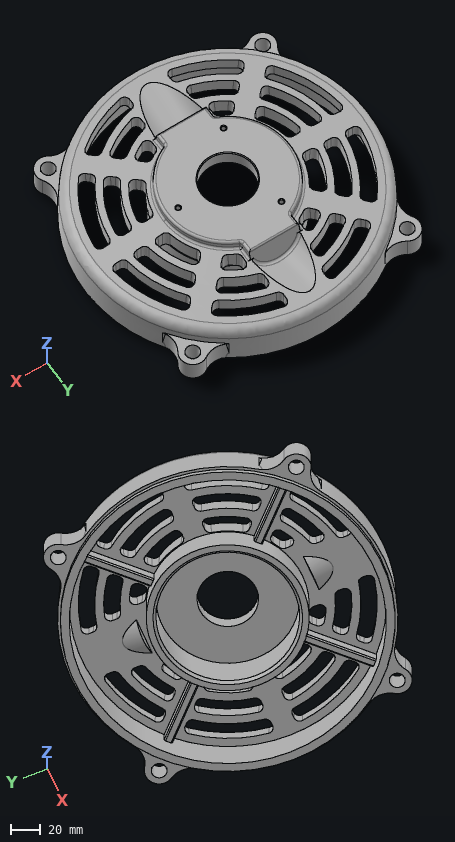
import cadquery as cq
import math

skirt_radius = 114.0
skirt_draft = 2.0
skirt_inner_radius = 106.0
spigot_radius = 112.0
spigot_height = 4.0
cone_apex_height = 44.0
cone_slope = 5.0
shoulder_fillet = 8.0
roof_underside = 25.5

plate_top = 46.5
plate_radius = 50.0
tab_half_width = 20.0
plate_corner_fillet = 2.0
plate_top_fillet = 2.0
plate_foot_fillet = 1.8
tab_edge_fillet = 1.3
tab_blank_reach = 70.0

scoop_tilt = 15.0
tab_top_reach = 55.0
scoop_radius = 21.0
scoop_floor_depth = 21.7
scoop_corner_fillet = 2.0
scoop_wall = 4.0
scoop_length = 70.0

bore_radius = 20.5
bore_chamfer = 0.7
hub_outer_radius = 54.5
hub_inner_radius = 48.0
hub_bottom = 6.0
hub_chamfer = 2.0
hub_ceiling = 34.0

fixing_circle_radius = 40.0
fixing_diameter = 3.3
fixing_depth = 10.0
fixing_chamfer = 0.6
fixing_chamfer_angle = 90.0
fixing_count = 3

ear_circle_radius = 122.3
ear_radius = 10.0
ear_hole_diameter = 10.5
ear_top = 21.5
ear_blend_radius = 16.5
ear_root_radius = 113.8
ear_angles = [45, 135, 225, 315]

slot_inner_radius = 55.5
slot_width = 10.0
slot_pitch = 17.0
slot_taper = 2.0
slot_corner_radius = 4.0
spoke_half_width = 8.2
scoop_spoke_half_widths = [24.2, 19.6, 16.7]
slot_cut_bottom = 15.0
slot_cut_top = 45.0

rib_thickness = 6.0
rib_bottom = 17.0
rib_chamfer = 1.0

selection_margin = 1.0
roof_tolerance = 0.1


def cylinder(radius, bottom, top):
    return cq.Workplane("XY").workplane(offset=bottom).circle(radius).extrude(top - bottom)


def roof_height(radius):
    return cone_apex_height - radius * math.tan(math.radians(cone_slope))


def make_outer_body():
    """Solid skirt, spigot and conical roof with a rounded shoulder."""
    draft = math.tan(math.radians(skirt_draft))
    slope = math.tan(math.radians(cone_slope))
    corner_radius = (skirt_radius - draft * (cone_apex_height - spigot_height)) / (1 - draft * slope)
    profile = (
        cq.Workplane("XZ")
        .polyline([
            (0, 0),
            (spigot_radius, 0),
            (spigot_radius, spigot_height),
            (skirt_radius, spigot_height),
            (corner_radius, roof_height(corner_radius)),
            (0, cone_apex_height),
        ])
        .close()
    )
    body = profile.revolve(360, (0, 0, 0), (0, 1, 0))
    shoulder = cq.selectors.BoxSelector(
        (-skirt_radius, -skirt_radius, spigot_height + selection_margin),
        (skirt_radius, skirt_radius, cone_apex_height - selection_margin),
    )
    return body.edges("%CIRCLE").edges(shoulder).fillet(shoulder_fillet)


def tab_face_plane(side):
    """Plane of the inclined tab face, normal outwards; its local y runs up the face."""
    tilt = math.radians(scoop_tilt)
    return cq.Plane(
        origin=(0, side * tab_top_reach, plate_top),
        xDir=(-side, 0, 0),
        normal=(0, side * math.cos(tilt), math.sin(tilt)),
    )


def make_plate_blank():
    """Upright plate outline with square-ended tabs that run past the tab faces."""
    disc = cylinder(plate_radius, roof_underside, plate_top)
    tab_height = plate_top - roof_underside
    tabs = cq.Workplane("XY").box(2 * tab_half_width, 2 * tab_blank_reach, tab_height)
    tabs = tabs.translate((0, 0, (plate_top + roof_underside) / 2))
    corner_y = math.sqrt(plate_radius**2 - tab_half_width**2)
    corner_zone = cq.selectors.BoxSelector(
        (-tab_half_width - selection_margin, -corner_y - selection_margin, roof_underside),
        (tab_half_width + selection_margin, corner_y + selection_margin, plate_top),
    )
    return disc.union(tabs).edges("|Z").edges(corner_zone).fillet(plate_corner_fillet)


def is_tab_blank_end(point):
    return abs(point.y) > tab_blank_reach - selection_margin


def is_plate_foot(point):
    """True on the line where the sides of the plate meet the roof."""
    radius = math.hypot(point.x, point.y)
    on_roof = abs(point.z - roof_height(radius)) < roof_tolerance
    return on_roof and radius < tab_blank_reach and not is_tab_blank_end(point)


def add_plate(body):
    """Round plate with a tab on each Y side, rounded along its foot and its top edge."""
    raised = body.union(make_plate_blank())
    foot_edges = [edge for edge in raised.edges().vals() if is_plate_foot(edge.positionAt(0.5))]
    raised = raised.newObject(foot_edges).fillet(plate_foot_fillet)
    top_edges = raised.faces(">Z").edges().vals()
    top_side_edges = [edge for edge in top_edges if not is_tab_blank_end(edge.positionAt(0.5))]
    raised = raised.newObject(top_side_edges).fillet(plate_top_fillet)

    for side in (-1, 1):
        beyond = cq.Workplane(tab_face_plane(side)).rect(4 * skirt_radius, 4 * skirt_radius)
        raised = raised.cut(beyond.extrude(2 * skirt_radius).cut(body))
    return raised


def scoop_cylinder(side, radius):
    """Cylinder square to the tab face, sharing the axis of the scoop."""
    axis_drop = scoop_floor_depth - scoop_radius
    plane = cq.Workplane(tab_face_plane(side))
    return plane.center(0, -axis_drop).circle(radius).extrude(scoop_length)


def make_scoop_walls():
    """Material below the scoops, between the hub and the skirt."""
    wall_radius = scoop_radius + scoop_wall
    walls = scoop_cylinder(1, wall_radius).union(scoop_cylinder(-1, wall_radius))
    zone = cylinder(skirt_inner_radius, spigot_height, roof_underside)
    return walls.intersect(zone)


def make_scoop_cut(side):
    cut = scoop_cylinder(side, scoop_radius)
    root = cq.selectors.NearestToPointSelector((0, side * tab_top_reach, plate_top))
    return cut.faces(root).edges().fillet(scoop_corner_fillet)


def make_tab_edge_cut():
    """Bar along the top edge of the +Y tab whose concave side leaves that edge rounded."""
    margin = 1.0
    middle_angle = math.radians((90 + scoop_tilt) / 2)
    setback = tab_edge_fillet * math.tan(math.radians((90 - scoop_tilt) / 2))
    centre_y = tab_top_reach - setback
    centre_z = plate_top - tab_edge_fillet
    middle_y = centre_y + tab_edge_fillet * math.cos(middle_angle)
    middle_z = centre_z + tab_edge_fillet * math.sin(middle_angle)
    face_y = centre_y + tab_edge_fillet * math.cos(math.radians(scoop_tilt))
    face_z = centre_z + tab_edge_fillet * math.sin(math.radians(scoop_tilt))
    return (
        cq.Workplane("YZ")
        .moveTo(centre_y, plate_top)
        .threePointArc((middle_y, middle_z), (face_y, face_z))
        .lineTo(face_y + margin, face_z)
        .lineTo(face_y + margin, plate_top + margin)
        .lineTo(centre_y, plate_top + margin)
        .close()
        .extrude(tab_half_width + margin, both=True)
    )


def make_cavity():
    """Hollow of the cover, with the hub ring and the diagonal ribs left standing."""
    cavity = cylinder(skirt_inner_radius, 0, roof_underside)
    hub = cylinder(hub_outer_radius, hub_bottom, roof_underside)
    hub = hub.cut(cylinder(hub_inner_radius, hub_bottom, roof_underside))
    hub = hub.faces("<Z").edges(cq.selectors.RadiusNthSelector(0)).chamfer(hub_chamfer)
    cavity = cavity.union(cylinder(hub_inner_radius, roof_underside, hub_ceiling)).cut(hub)
    rib_span = skirt_inner_radius - hub_inner_radius
    rib_height = roof_underside - rib_bottom
    rib = cq.Workplane("XY").box(rib_span, rib_thickness, rib_height, centered=(False, True, False))
    rib = rib.faces("<Z").edges("|X").chamfer(rib_chamfer)
    rib = rib.translate((hub_inner_radius, 0, rib_bottom))
    rib = rib.cut(cylinder(hub_inner_radius, 0, roof_underside))
    for angle in ear_angles:
        cavity = cavity.cut(rib.rotate((0, 0, 0), (0, 0, 1), angle))
    return cavity.cut(make_scoop_walls())


def make_ear():
    """Ear with concave blends into the skirt, pointing along +X."""
    to_axis = ear_root_radius + ear_blend_radius
    to_ear = ear_radius + ear_blend_radius
    blend_x = (to_axis**2 - to_ear**2 + ear_circle_radius**2) / (2 * ear_circle_radius)
    blend_y = math.sqrt(to_axis**2 - blend_x**2)
    root_x = blend_x * ear_root_radius / to_axis
    root_y = blend_y * ear_root_radius / to_axis
    tip_x = ear_circle_radius + (blend_x - ear_circle_radius) * ear_radius / to_ear
    tip_y = blend_y * ear_radius / to_ear
    start_angle = math.atan2(root_y - blend_y, root_x - blend_x)
    end_angle = math.atan2(tip_y - blend_y, tip_x - blend_x)
    middle_angle = (start_angle + end_angle) / 2
    middle_x = blend_x + ear_blend_radius * math.cos(middle_angle)
    middle_y = blend_y + ear_blend_radius * math.sin(middle_angle)
    return (
        cq.Workplane("XY")
        .workplane(offset=spigot_height)
        .moveTo(root_x, root_y)
        .threePointArc((middle_x, middle_y), (tip_x, tip_y))
        .threePointArc((ear_circle_radius + ear_radius, 0), (tip_x, -tip_y))
        .threePointArc((middle_x, -middle_y), (root_x, -root_y))
        .close()
        .extrude(ear_top - spigot_height)
    )


def make_ear_hole():
    hole = cylinder(ear_hole_diameter / 2, 0, ear_top)
    return hole.translate((ear_circle_radius, 0, 0))


def slot_outline(row, start_axis, start_offset, end_axis, end_offset, growth):
    """Curved slot outline, grown all round; each end is parallel to a spoke axis (degrees)."""
    inner = slot_inner_radius + row * slot_pitch - growth
    outer = inner + slot_width + 2 * growth

    def point(radius, angle):
        return cq.Vector(radius * math.cos(angle), radius * math.sin(angle))

    def arc_points(radius):
        start = math.radians(start_axis) + math.asin((start_offset - growth) / radius)
        end = math.radians(end_axis) - math.asin((end_offset - growth) / radius)
        return [point(radius, angle) for angle in (start, (start + end) / 2, end)]

    inner_start, inner_middle, inner_end = arc_points(inner)
    outer_start, outer_middle, outer_end = arc_points(outer)
    return cq.Wire.assembleEdges([
        cq.Edge.makeLine(inner_start, outer_start),
        cq.Edge.makeThreePointArc(outer_start, outer_middle, outer_end),
        cq.Edge.makeLine(outer_end, inner_end),
        cq.Edge.makeThreePointArc(inner_end, inner_middle, inner_start),
    ])


def make_slot(row, start_axis, start_offset, end_axis, end_offset):
    """Slot cutter that widens upwards, with rounded corners."""
    ends = (row, start_axis, start_offset, end_axis, end_offset)
    height = slot_cut_top - slot_cut_bottom
    foot = slot_outline(*ends, 0)
    head = slot_outline(*ends, height * math.tan(math.radians(slot_taper)))
    foot = foot.moved(cq.Location(cq.Vector(0, 0, slot_cut_bottom)))
    head = head.moved(cq.Location(cq.Vector(0, 0, slot_cut_top)))
    slot = cq.Workplane(obj=cq.Solid.makeLoft([foot, head], True))
    corners = cq.selectors.BoxSelector(
        (-skirt_radius, -skirt_radius, slot_cut_bottom + selection_margin),
        (skirt_radius, skirt_radius, slot_cut_top - selection_margin),
    )
    return slot.edges(corners).fillet(slot_corner_radius)


def make_slots():
    """Slots of one quadrant, mirrored to all four."""
    slots = []
    for row, scoop_spoke_half_width in enumerate(scoop_spoke_half_widths):
        slots.append(make_slot(row, 0, spoke_half_width, 45, spoke_half_width))
        slots.append(make_slot(row, 45, spoke_half_width, 90, scoop_spoke_half_width))
    slots += [slot.mirror("YZ") for slot in slots]
    slots += [slot.mirror("XZ") for slot in slots]
    return slots


def cut_fixing_holes(part):
    return (
        part.faces(">Z")
        .workplane(origin=(0, 0, plate_top))
        .polarArray(fixing_circle_radius, 0, 360, fixing_count)
        .cskHole(fixing_diameter, fixing_diameter + 2 * fixing_chamfer, fixing_chamfer_angle, fixing_depth)
    )


def cut_bore(part):
    part = part.cut(cylinder(bore_radius, 0, plate_top))
    rim = cq.selectors.NearestToPointSelector((0, 0, plate_top))
    return part.faces(">Z").edges(rim).chamfer(bore_chamfer)


outer_body = make_outer_body()
result = add_plate(outer_body)
for scoop_side in (-1, 1):
    result = result.cut(make_scoop_cut(scoop_side))
tab_edge_cut = make_tab_edge_cut()
result = result.cut(tab_edge_cut).cut(tab_edge_cut.mirror("XZ"))
result = cut_bore(result.cut(make_cavity()))
for slot_cut in make_slots():
    result = result.cut(slot_cut)
for ear_angle in ear_angles:
    result = result.union(make_ear().rotate((0, 0, 0), (0, 0, 1), ear_angle))
    result = result.cut(make_ear_hole().rotate((0, 0, 0), (0, 0, 1), ear_angle))
result = cut_fixing_holes(result)